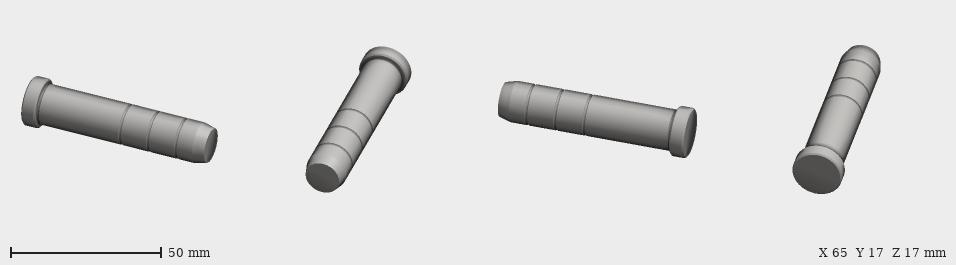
import cadquery as cq
import math

total_length = 65.0
head_diameter = 17.0
head_length = 5.0
head_edge_size = 0.5
shank_diameter = 14.0

groove_radius = 0.5
undercut_center = head_length + groove_radius
first_groove_center = 35.0
groove_pitch = 10.0
groove_count = 3

tip_length = 4.0
tip_angle = 15.0


def make_head():
    head = cq.Workplane("YZ").circle(head_diameter / 2).extrude(head_length)
    return head.edges().chamfer(head_edge_size)


def make_shank():
    """Plain cylinder closed by the conical lead-in."""
    shank_radius = shank_diameter / 2
    tip_radius = shank_radius - tip_length * math.tan(math.radians(tip_angle))
    profile = (
        cq.Workplane("XY")
        .lineTo(0, shank_radius)
        .lineTo(total_length - tip_length, shank_radius)
        .lineTo(total_length, tip_radius)
        .lineTo(total_length, 0)
        .close()
    )
    return profile.revolve(360, (0, 0, 0), (1, 0, 0))


def make_groove_ring(center_x):
    """Torus centred on the shank surface, used to cut a half-round groove."""
    section = cq.Workplane("XY").center(center_x, shank_diameter / 2).circle(groove_radius)
    return section.revolve(360, (0, -shank_diameter / 2, 0), (1, -shank_diameter / 2, 0))


shank = make_shank().cut(make_groove_ring(undercut_center))
for index in range(groove_count):
    shank = shank.cut(make_groove_ring(first_groove_center + index * groove_pitch))

result = make_head().union(shank)